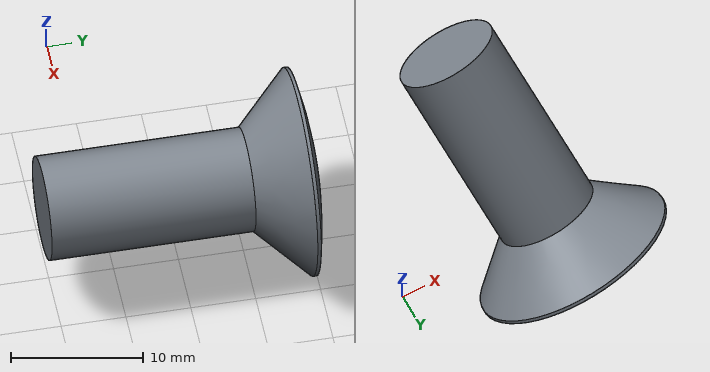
import cadquery as cq

total_length = 21.0
head_diameter = 16.0
shank_diameter = head_diameter / 2
dome_height = 1.0
rim_thickness = 0.27

head_radius = head_diameter / 2
shank_radius = shank_diameter / 2
cone_height = head_radius - shank_radius

rim_top = -dome_height
rim_bottom = rim_top - rim_thickness
cone_bottom = rim_bottom - cone_height
shank_end = -total_length

dome_radius = (head_radius**2 + dome_height**2) / (2 * dome_height)
arc_mid_x = head_radius / 2
arc_mid_y = (dome_radius**2 - arc_mid_x**2) ** 0.5 - dome_radius

result = (
    cq.Workplane("XY")
    .moveTo(0, shank_end)
    .lineTo(shank_radius, shank_end)
    .lineTo(shank_radius, cone_bottom)
    .lineTo(head_radius, rim_bottom)
    .lineTo(head_radius, rim_top)
    .threePointArc((arc_mid_x, arc_mid_y), (0, 0))
    .close()
    .revolve(360, (0, 0, 0), (0, 1, 0))
)